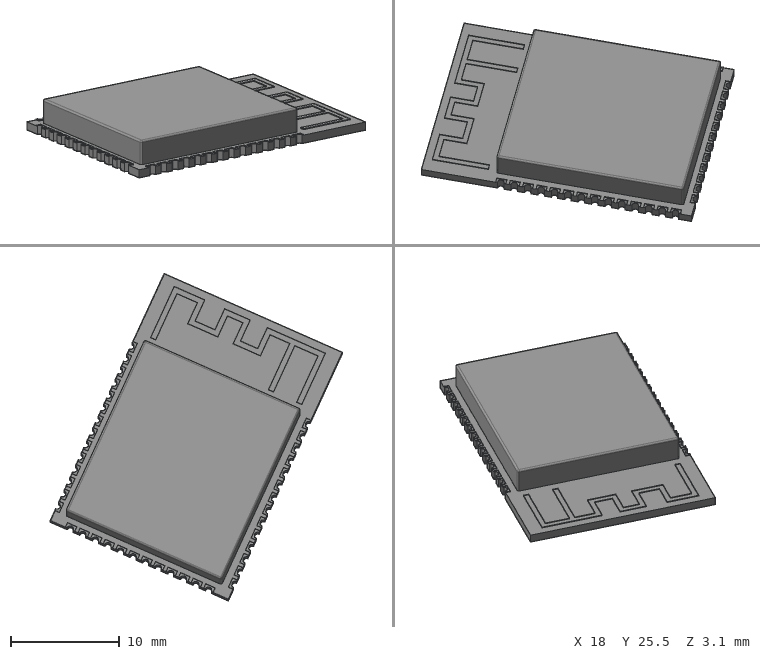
import cadquery as cq
board_width = 18.0
board_length = 25.5
board_thickness = 0.8
overall_height = 3.1
copper_thickness = 0.08
copper_top = board_thickness + copper_thickness

half_width = board_width / 2
half_length = board_length / 2

can_side_margin = 1.12
can_front_margin = 1.0
can_length = 17.65
can_edge_radius = 0.18

pad_width = 0.95
pad_depth = 0.45
notch_radius = 0.3
side_pad_count = 14
side_row_span = 16.5
side_row_start = 1.5
front_pad_count = 12
front_row_span = 13.97

trace_width = 0.5
antenna_left_margin = 1.35
antenna_right_margin = 1.38
antenna_back_margin = 0.75
leg_length = 5.28
meander_depth = 2.68
first_drop = 3.93
first_rise = 6.45
second_drop = 8.52
second_rise = 10.75
feed_leg = 13.25


def row_positions(start, span, count):
    """Evenly spaced positions from start to start + span."""
    pitch = span / (count - 1)
    return [start + i * pitch for i in range(count)]


def make_pads(size_x, size_y, centers):
    """Raised copper pads of the given X and Y sizes, reaching down to the board underside."""
    return cq.Workplane("XY").pushPoints(centers).rect(size_x, size_y).extrude(copper_top)


def make_can():
    """Shield can with rounded upright and top edges."""
    can_width = board_width - 2 * can_side_margin
    can_height = overall_height - board_thickness
    can_center_y = -half_length + can_front_margin + can_length / 2
    can = cq.Workplane("XY").box(can_width, can_length, can_height, centered=(True, True, False))
    can = can.edges("|Z or >Z").fillet(can_edge_radius)
    return can.translate((0, can_center_y, board_thickness))


def trace_bar(left, right, back, front):
    """Straight piece of trace; distances run from the left and back board edges."""
    return (
        cq.Workplane("XY")
        .box(right - left, front - back, copper_top, centered=False)
        .translate((left - half_width, half_length - front, 0))
    )


def make_antenna():
    """Meandering trace with three long legs."""
    back = antenna_back_margin
    last_leg = board_width - antenna_right_margin - trace_width
    low_end = back + meander_depth

    bars = []
    for left in (antenna_left_margin, feed_leg, last_leg):
        bars.append(trace_bar(left, left + trace_width, back, back + leg_length))
    for left in (first_drop, first_rise, second_drop, second_rise):
        bars.append(trace_bar(left, left + trace_width, back, low_end))
    high_runs = ((antenna_left_margin, first_drop), (first_rise, second_drop), (second_rise, last_leg))
    for left, right in high_runs:
        bars.append(trace_bar(left, right + trace_width, back, back + trace_width))
    low_runs = ((first_drop, first_rise), (second_drop, second_rise))
    for left, right in low_runs:
        bars.append(trace_bar(left, right + trace_width, low_end - trace_width, low_end))

    antenna = bars[0]
    for bar in bars[1:]:
        antenna = antenna.union(bar)
    return antenna


board = cq.Workplane("XY").box(board_width, board_length, board_thickness, centered=(True, True, False))
result = board.union(make_can()).union(make_antenna())

side_ys = row_positions(-half_length + side_row_start, side_row_span, side_pad_count)
front_xs = row_positions(-front_row_span / 2, front_row_span, front_pad_count)
side_pad_x = half_width - pad_depth / 2
front_pad_y = -half_length + pad_depth / 2
side_pad_centers = [(side * side_pad_x, y) for side in (-1, 1) for y in side_ys]
front_pad_centers = [(x, front_pad_y) for x in front_xs]
result = result.union(make_pads(pad_depth, pad_width, side_pad_centers))
result = result.union(make_pads(pad_width, pad_depth, front_pad_centers))

side_notch_centers = [(side * half_width, y) for side in (-1, 1) for y in side_ys]
front_notch_centers = [(x, -half_length) for x in front_xs]
notches = (
    cq.Workplane("XY")
    .pushPoints(side_notch_centers + front_notch_centers)
    .circle(notch_radius)
    .extrude(copper_top)
)
result = result.cut(notches)